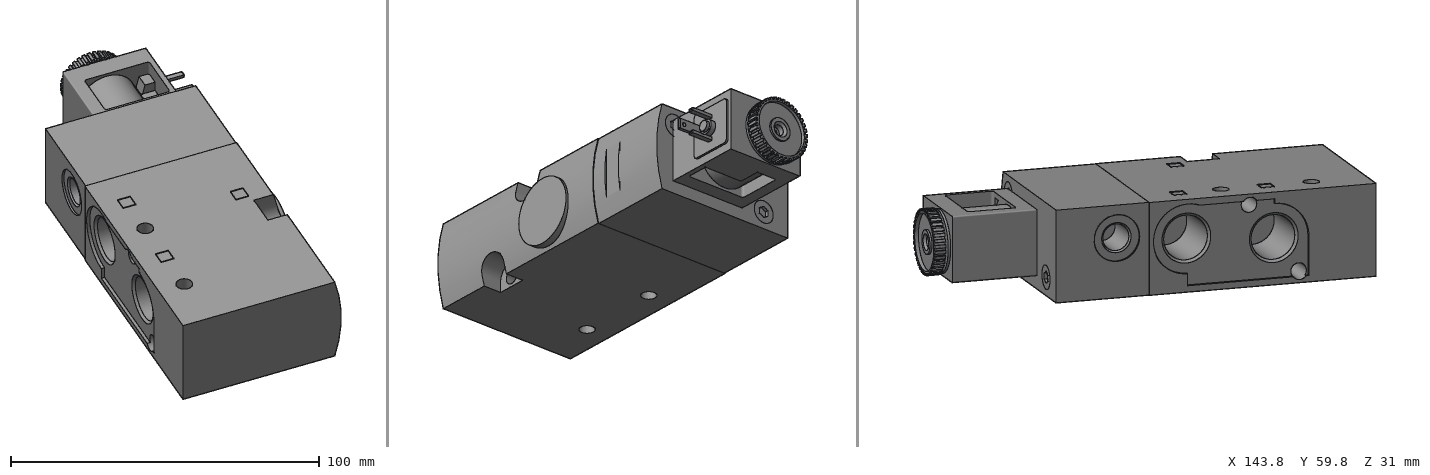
import cadquery as cq
import math


total_length = 143.8
knob_length = 3.7
washer_start = 4.6
coil_start = 5.5
pilot_start = 34.4
valve_start = 66.2

height = 31.0
mid_z = height / 2
valve_back_edge_y = 54.0
valve_crown_y = 56.2
pilot_setback = 0.3
pilot_front_y = pilot_setback
pilot_back_edge_y = valve_back_edge_y - pilot_setback
pilot_crown_y = valve_crown_y - pilot_setback
tail_y = 86.3

port_diameter = 15.0
port_chamfer = 0.9
port_depth = 21.6
port_a_x = 79.3
port_a_z = 17.8
port_b_x = 109.2
port_b_z = mid_z
bolt_hole_diameter = 5.3
bolt_upper_x = 100.7
bolt_lower_x = 117.7
bolt_upper_z = 27.3
bolt_lower_z = height - bolt_upper_z
head_slot_width = 11.1
head_slot_y = 47.0
top_hole_y = 9.0
top_hole_xs = (93.8, 124.7)

recess_radius = 11.7
recess_depth = 1.2
recess_bottom_z = 2.2
recess_top_z = 28.8

label_size = 4.5
label_depth = 0.3
label_centers = ((79.1, top_hole_y), (109.2, top_hole_y), (90.2, 44.2))

pad_diameter = 23.7
pad_x = 90.3
pad_z = 13.2
pad_start_y = 51.8
pad_end_y = 57.1

pilot_port_x = 55.2
pilot_port_z = 20.0
pilot_port_diameter = 8.9
pilot_port_chamfer = 0.6
pilot_port_depth = 14.4
pilot_spot_diameter = 15.5
pilot_spot_depth = 0.7
back_notch_start_x = 53.7
back_notch_end_x = 60.4
back_notch_floor_y = 55.2

screw_diameter = 8.0
screw_length = 5.8
socket_corner_diameter = 4.0
socket_depth = 1.2
screw_places = ((10.5, 6.2), (48.2, 24.9))

coil_front_y = 19.4
coil_back_y = 48.9
coil_height = 22.2
coil_bottom_z = mid_z - coil_height / 2
coil_edge_fillet = 0.5
axis_y = 32.0
window_start_x = 12.2
window_end_x = 28.8
window_front_y = 24.0
window_back_y = 47.0
window_fillet = 0.9
winding_diameter = 20.1
tie_end_x = 20.4
tie_top_z = 18.1
ledge_end_x = 17.0
ledge_front_y = 43.5
ledge_top_z = 21.6
pocket_depth = 4.3
pocket_back_y = 45.5
pocket_top_z = 24.7
pocket_core_diameter = 27.3

connector_x = 15.0
base_size = 16.1
base_thickness = 0.7
base_fillet = 1.2
boss_large_diameter = 5.3
boss_large_end_y = 51.5
boss_small_diameter = 3.7
boss_small_end_y = 52.6
blade_thickness = 1.08
blade_tip_chamfer = 0.36
ground_x = 18.8
ground_width = 3.6
ground_end_y = 59.8
ground_hole_diameter = 1.3
ground_hole_y = 57.8
power_width = 1.9
power_end_y = 58.1
power_spacing = 8.2

knob_diameter = 21.9
knurl_count = 36
knurl_depth = 0.7
knurl_width = 0.9
face_recess_diameter = 19.1
face_recess_depth = 1.3
hub_face_x = 0.6
hub_diameter = 8.0
hub_bore_diameter = 3.7
hub_bore_depth = 2.9
hub_bore_chamfer = 0.9
center_hole_diameter = 1.7
neck_diameter = 7.9
washer_diameter = 21.1


def box(x0, x1, y0, y1, z0, z1):
    return cq.Workplane("XY").box(x1 - x0, y1 - y0, z1 - z0, centered=False).translate((x0, y0, z0))


def rod_x(diameter, x0, x1, y, z):
    return cq.Workplane("YZ", origin=(x0, y, z)).circle(diameter / 2).extrude(x1 - x0)


def rod_y(diameter, y0, y1, x, z):
    """Cylinder along Y; the XZ plane's normal is -Y, hence the negative length."""
    return cq.Workplane("XZ", origin=(x, y0, z)).circle(diameter / 2).extrude(y0 - y1)


def port(diameter, chamfer, face_y, depth, x, z):
    """Cutter for a blind port with a chamfered mouth, opening toward -Y."""
    mouth = cq.Solid.makeCone(
        diameter / 2 + chamfer, diameter / 2, chamfer, pnt=cq.Vector(x, face_y, z), dir=cq.Vector(0, 1, 0)
    )
    return rod_y(diameter, face_y, face_y + depth, x, z).union(cq.Workplane(mouth))


def crowned_block(x0, x1, front_y, edge_y, crown_y):
    """Block whose back face is a shallow arc from the underside to the top."""
    return (
        cq.Workplane("YZ", origin=(x0, 0, 0))
        .moveTo(front_y, 0)
        .lineTo(edge_y, 0)
        .threePointArc((crown_y, mid_z), (edge_y, height))
        .lineTo(front_y, height)
        .close()
        .extrude(x1 - x0)
    )


def gasket_recess():
    """Recess that follows an arc around each port, with square corners at two opposite ends."""
    arc_end_x = port_a_x + math.sqrt(recess_radius**2 - (recess_top_z - port_a_z) ** 2)
    right_x = port_b_x + recess_radius
    diagonal = recess_radius * math.sqrt(0.5)
    return (
        cq.Workplane("XZ")
        .moveTo(port_a_x, recess_bottom_z)
        .lineTo(port_a_x, port_a_z - recess_radius)
        .threePointArc((port_a_x - recess_radius, port_a_z), (arc_end_x, recess_top_z))
        .lineTo(port_b_x, recess_top_z)
        .lineTo(port_b_x, port_b_z + recess_radius)
        .threePointArc((port_b_x + diagonal, port_b_z + diagonal), (right_x, port_b_z))
        .lineTo(right_x, recess_bottom_z)
        .close()
        .extrude(-recess_depth)
    )


def head_slot(x, z, open_z):
    """Round-bottomed slot for a bolt head, open to the back and to the face at open_z."""
    half = head_slot_width / 2
    walls = box(x - half, x + half, head_slot_y, tail_y, min(z, open_z), max(z, open_z))
    return rod_y(head_slot_width, head_slot_y, tail_y, x, z).union(walls)


def make_valve_body():
    body = crowned_block(valve_start, total_length, 0, valve_back_edge_y, valve_crown_y)
    body = body.union(rod_y(pad_diameter, pad_start_y, pad_end_y, pad_x, pad_z))
    body = body.cut(gasket_recess())
    for x, z in ((port_a_x, port_a_z), (port_b_x, port_b_z)):
        body = body.cut(port(port_diameter, port_chamfer, recess_depth, port_depth, x, z))
    for x, z, open_z in ((bolt_upper_x, bolt_upper_z, height), (bolt_lower_x, bolt_lower_z, 0)):
        body = body.cut(rod_y(bolt_hole_diameter, 0, tail_y, x, z))
        body = body.cut(head_slot(x, z, open_z))
    top_holes = cq.Workplane("XY").pushPoints([(x, top_hole_y) for x in top_hole_xs])
    body = body.cut(top_holes.circle(bolt_hole_diameter / 2).extrude(height))
    labels = cq.Workplane("XY", origin=(0, 0, height)).pushPoints(label_centers)
    return body.cut(labels.rect(label_size, label_size).extrude(-label_depth))


def make_pilot_block():
    block = crowned_block(pilot_start, valve_start, pilot_front_y, pilot_back_edge_y, pilot_crown_y)
    spot_floor_y = pilot_front_y + pilot_spot_depth
    block = block.cut(rod_y(pilot_spot_diameter, pilot_front_y, spot_floor_y, pilot_port_x, pilot_port_z))
    block = block.cut(
        port(
            pilot_port_diameter,
            pilot_port_chamfer,
            spot_floor_y,
            pilot_port_depth,
            pilot_port_x,
            pilot_port_z,
        )
    )
    block = block.cut(box(back_notch_start_x, back_notch_end_x, back_notch_floor_y, tail_y, 0, height))
    for y, z in screw_places:
        block = block.cut(rod_x(screw_diameter, pilot_start, pilot_start + screw_length, y, z))
    return block


def make_screw(y, z):
    """Screw with a hexagon socket, flush with the pilot's end face."""
    socket = (
        cq.Workplane("YZ", origin=(pilot_start, y, z))
        .transformed(rotate=(0, 0, 90))
        .polygon(6, socket_corner_diameter)
        .extrude(socket_depth)
    )
    return rod_x(screw_diameter, pilot_start, pilot_start + screw_length, y, z).cut(socket)


def make_blade(x0, x1, end_y, z0, z1):
    blade = box(x0, x1, coil_back_y, end_y, z0, z1)
    return blade.faces(">Y").chamfer(blade_tip_chamfer)


def make_connector():
    """Base plate with a stepped boss, one ground blade and two power blades."""
    base_end_y = coil_back_y + base_thickness
    half_base = base_size / 2
    base = box(
        connector_x - half_base,
        connector_x + half_base,
        coil_back_y,
        base_end_y,
        mid_z - half_base,
        mid_z + half_base,
    )
    base = base.edges("|Y").fillet(base_fillet)
    base = base.union(rod_y(boss_large_diameter, coil_back_y, boss_large_end_y, connector_x, mid_z))
    base = base.union(rod_y(boss_small_diameter, coil_back_y, boss_small_end_y, connector_x, mid_z))
    half_thick = blade_thickness / 2
    ground_x0 = ground_x - half_thick
    ground_x1 = ground_x + half_thick
    ground = make_blade(ground_x0, ground_x1, ground_end_y, mid_z - ground_width / 2, mid_z + ground_width / 2)
    ground = ground.cut(rod_x(ground_hole_diameter, ground_x0, ground_x1, ground_hole_y, mid_z))
    connector = base.union(ground)
    for side in (-1, 1):
        z = mid_z + side * power_spacing / 2
        x0 = connector_x - power_width / 2
        power = make_blade(x0, x0 + power_width, power_end_y, z - half_thick, z + half_thick)
        connector = connector.union(power)
    return connector


def make_winding_tie():
    """Web between the winding and the window's back wall, with a steep-fronted ledge at one end."""
    winding_side_y = axis_y + winding_diameter / 2
    web = box(window_start_x, tie_end_x, axis_y, window_back_y, coil_bottom_z, tie_top_z)
    ledge = (
        cq.Workplane("YZ", origin=(window_start_x, 0, 0))
        .moveTo(window_back_y, coil_bottom_z)
        .lineTo(window_back_y, ledge_top_z)
        .lineTo(ledge_front_y, ledge_top_z)
        .lineTo(winding_side_y, mid_z)
        .lineTo(winding_side_y, coil_bottom_z)
        .close()
        .extrude(ledge_end_x - window_start_x)
    )
    web = web.cut(box(window_start_x, ledge_end_x, winding_side_y, window_back_y, mid_z, height))
    return web.union(ledge)


def make_corner_pocket():
    """Cutter for the pocket in the window's end wall, between its upper back corner and a round core."""
    end_x = window_end_x + pocket_depth
    corner = box(window_end_x, end_x, axis_y, pocket_back_y, mid_z, pocket_top_z)
    return corner.cut(rod_x(pocket_core_diameter, window_end_x, end_x, axis_y, mid_z))


def make_coil():
    coil = box(coil_start, pilot_start, coil_front_y, coil_back_y, coil_bottom_z, coil_bottom_z + coil_height)
    coil = coil.faces("<Y").edges("|X").fillet(coil_edge_fillet)
    window = box(window_start_x, window_end_x, window_front_y, window_back_y, 0, height)
    coil = coil.cut(window.edges("|Z").fillet(window_fillet))
    coil = coil.union(rod_x(winding_diameter, window_start_x, window_end_x, axis_y, mid_z))
    return coil.union(make_winding_tie()).cut(make_corner_pocket()).union(make_connector())


def make_knob():
    """Knurled knob with a recessed face, a bored hub, and a neck and washer against the coil."""
    knob = rod_x(knob_diameter, 0, knob_length, axis_y, mid_z)
    knurl = cq.Workplane("YZ", origin=(0, axis_y, mid_z)).polarArray(knob_diameter / 2, 0, 360, knurl_count)
    knob = knob.cut(knurl.rect(2 * knurl_depth, knurl_width).extrude(knob_length))
    knob = knob.cut(rod_x(face_recess_diameter, 0, face_recess_depth, axis_y, mid_z))
    knob = knob.union(rod_x(hub_diameter, hub_face_x, knob_length, axis_y, mid_z))
    knob = knob.union(rod_x(neck_diameter, knob_length, washer_start, axis_y, mid_z))
    knob = knob.union(rod_x(washer_diameter, washer_start, coil_start, axis_y, mid_z))
    bore = rod_x(hub_bore_diameter, hub_face_x, hub_face_x + hub_bore_depth, axis_y, mid_z)
    mouth = cq.Solid.makeCone(
        hub_bore_diameter / 2 + hub_bore_chamfer,
        hub_bore_diameter / 2,
        hub_bore_chamfer,
        pnt=cq.Vector(hub_face_x, axis_y, mid_z),
        dir=cq.Vector(1, 0, 0),
    )
    knob = knob.cut(bore).cut(cq.Workplane(mouth))
    return knob.cut(rod_x(center_hole_diameter, hub_face_x, coil_start, axis_y, mid_z))


valve_body = make_valve_body()
pilot_block = make_pilot_block()
screws = [make_screw(y, z) for y, z in screw_places]
coil = make_coil()
knob = make_knob()

result = cq.Compound.makeCompound(
    [valve_body.val(), pilot_block.val(), *[screw.val() for screw in screws], coil.val(), knob.val()]
)